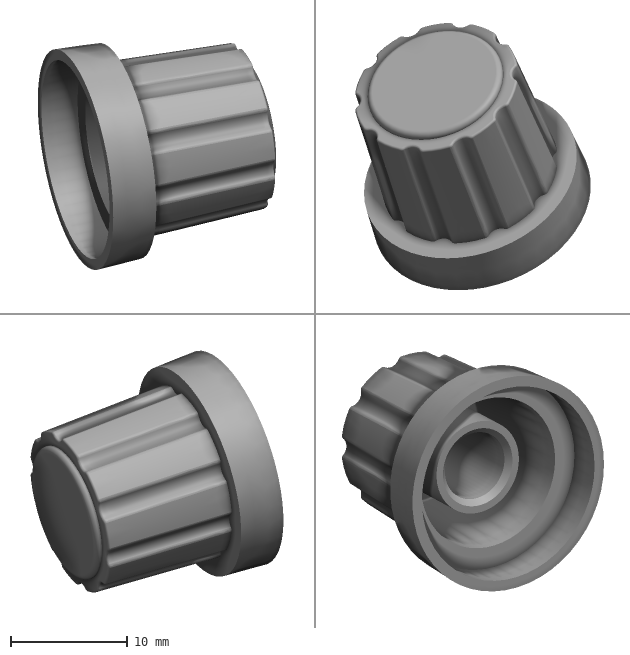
import cadquery as cq
import math


skirt_height = 4.0
grip_top = 15.7
knob_height = 16.3

skirt_base_radius = 19.3 / 2
skirt_draft = 3.0
skirt_top_radius = skirt_base_radius - skirt_height * math.tan(math.radians(skirt_draft))

grip_base_radius = 15.54 / 2
grip_draft = 2.5
grip_slope = math.tan(math.radians(grip_draft))
grip_top_radius = grip_base_radius - (grip_top - skirt_height) * grip_slope
grip_edge_fillet = 0.2

flute_count = 10
flute_radius = 1.0
flute_depth = 0.52
flute_edge_fillet = 0.4
flute_overrun = 1.0

cap_radius = 12.0 / 2
cap_edge_fillet = 0.5

recess_radius = 17.4 / 2
recess_depth = 3.3
cavity_mouth_radius = 13.5 / 2
cavity_floor_radius = 12.25 / 2
cavity_depth = 14.8
cavity_floor_fillet = 0.2

boss_radius = 8.3 / 2
boss_face_depth = 5.0
bore_radius = 6.0 / 2
bore_chamfer = 0.5

rib_width = 1.5
rib_face_depth = 13.3

inner_join = 0.3


def disc(radius, start, end):
    """Cylinder on the Y axis between two heights."""
    return cq.Workplane("XZ", origin=(0, start, 0)).circle(radius).extrude(start - end)


def cone(start_radius, end_radius, start, end):
    """Truncated cone on the Y axis between two heights."""
    outline = [(0, start), (start_radius, start), (end_radius, end), (0, end)]
    return cq.Workplane("XY").polyline(outline).close().revolve(360, (0, 0, 0), (0, 1, 0))


def flute_cutter(angle):
    """Round bar parallel to the grip wall; an angle of 0 puts it on the +X side."""
    direction = cq.Vector(-grip_slope, 1, 0)
    axis_radius = grip_base_radius - flute_depth + flute_radius
    start = cq.Vector(axis_radius, skirt_height, 0) - direction * flute_overrun
    length = (grip_top - skirt_height + 2 * flute_overrun) * direction.Length
    bar = cq.Solid.makeCylinder(flute_radius, length, start, direction)
    return bar.rotate(cq.Vector(0, 0, 0), cq.Vector(0, 1, 0), angle)


def make_grip():
    """Tapered grip with rounded flutes and a rounded top edge."""
    grip = cone(grip_base_radius, grip_top_radius, skirt_height, grip_top)
    for index in range(flute_count):
        grip = grip.cut(cq.Workplane(flute_cutter(index * 360 / flute_count)))
    flute_edges = grip.edges("not(#Y)").edges("not(<Y or >Y)")
    grip = flute_edges.fillet(flute_edge_fillet)
    return grip.faces(">Y").edges().fillet(grip_edge_fillet)


def make_cap():
    """Raised disc with a rounded rim, rooted in the top of the grip."""
    return disc(cap_radius, cavity_depth, knob_height).faces(">Y").edges().fillet(cap_edge_fillet)


def make_cavity():
    """Tapered cavity with a rounded floor edge."""
    cavity = cone(cavity_mouth_radius, cavity_floor_radius, recess_depth, cavity_depth)
    return cavity.faces(">Y").edges().fillet(cavity_floor_fillet)


def make_boss():
    """Shaft boss standing on the cavity floor, joined to the -X wall by the rib."""
    rib_length = cavity_floor_radius + inner_join
    boss_end = cavity_depth + inner_join
    rib = cq.Workplane("XY").box(
        rib_length, boss_end - rib_face_depth, rib_width, centered=(False, False, True)
    )
    rib = rib.translate((-rib_length, rib_face_depth, 0))
    return disc(boss_radius, boss_face_depth, boss_end).union(rib)


def make_bore():
    """Blind shaft bore with a chamfered mouth."""
    mouth = cone(bore_radius + bore_chamfer, bore_radius, boss_face_depth, boss_face_depth + bore_chamfer)
    return disc(bore_radius, boss_face_depth, cavity_depth).union(mouth)


skirt = cone(skirt_base_radius, skirt_top_radius, 0, skirt_height)
knob = make_grip().union(skirt).union(make_cap())
knob = knob.cut(disc(recess_radius, 0, recess_depth)).cut(make_cavity())
result = knob.union(make_boss()).cut(make_bore())